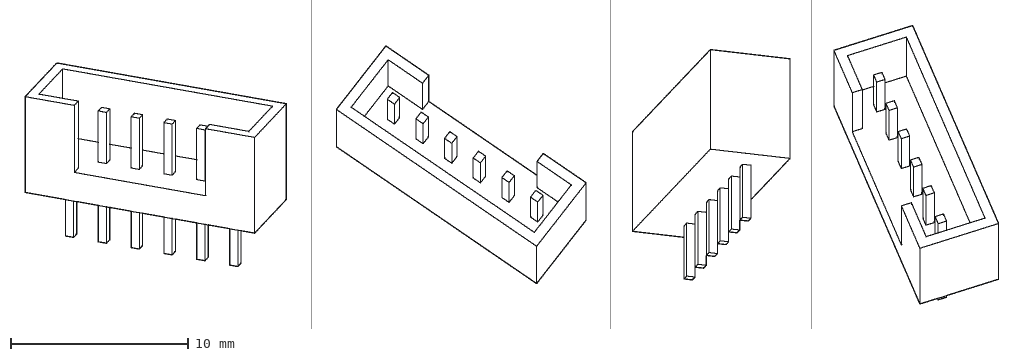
import cadquery as cq

length = 14.0
depth = 4.75
body_height = 6.0
wall = 0.6
floor_thickness = 1.8

front_opening_width = 8.0

overall_height = 9.2
pin_count = 6
pin_pitch = 2.0
pin_size = 0.5
pin_row_y = 2.0
pin_top_recess = 1.0

pin_tail = overall_height - body_height
pin_length = overall_height - pin_top_recess
cavity_height = body_height - floor_thickness


def block(size_x, size_y, size_z, y_start, z_start):
    """Box centred on X, growing toward +Y and +Z from the given start."""
    box = cq.Workplane("XY").box(size_x, size_y, size_z, centered=(True, False, False))
    return box.translate((0, y_start, z_start))


def make_housing():
    body = block(length, depth, body_height, 0, 0)
    cavity = block(length - 2 * wall, depth - 2 * wall, cavity_height, wall, floor_thickness)
    front_opening = block(front_opening_width, wall, cavity_height, 0, floor_thickness)
    return body.cut(cavity).cut(front_opening)


def make_pin(x):
    pin = block(pin_size, pin_size, pin_length, pin_row_y - pin_size / 2, -pin_tail)
    return pin.translate((x, 0, 0))


result = make_housing()
first_pin_x = -pin_pitch * (pin_count - 1) / 2
for index in range(pin_count):
    result = result.union(make_pin(first_pin_x + index * pin_pitch))